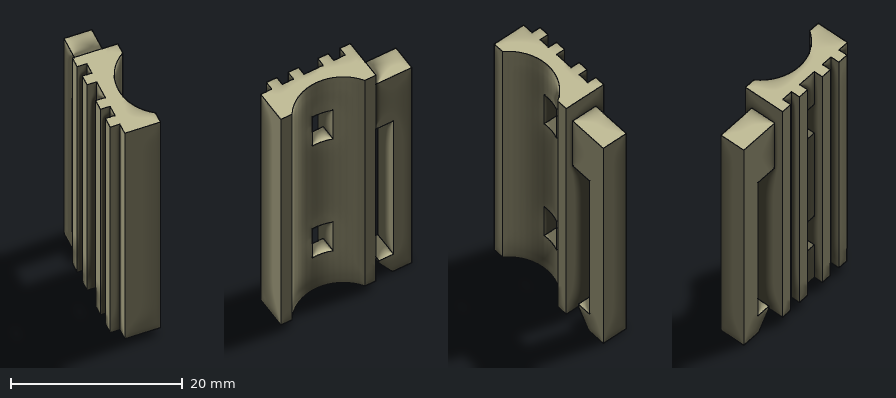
import cadquery as cq

total_width = 18.5
total_depth = 5.75
total_height = 38.0

body_left = 5.5
body_bottom = 1.05
body_width = total_width - body_left
body_height = total_height - body_bottom
rib_depth = 1.2
rib_width = 1.45
rib_starts = (0.0, 3.0, 7.05, 10.05)

channel_width = 9.95
channel_depth = 2.65

window_height = 5.15
window_bottoms = (6.9, 26.98)

clip_back_inset = 1.0
clip_depth = total_depth - rib_depth - clip_back_inset
clip_top = 35.05
bridge_bottom = 26.98
arm_width = 2.5
hook_reach = 4.5
hook_top = 3.08
hook_tip_bottom = 2.62
hook_base_width = 2.65


def box(x, y, z, width, depth, height):
    """Box placed by its left, front, bottom corner."""
    return cq.Workplane("XY").box(width, depth, height, centered=False).translate((x, y, z))


def make_body():
    """Plate with a round channel in the back and ribs on the front."""
    middle = body_left + body_width / 2
    channel_left = middle - channel_width / 2
    channel_right = middle + channel_width / 2
    body = (
        cq.Workplane("XY", origin=(0, 0, body_bottom))
        .moveTo(body_left, rib_depth)
        .lineTo(total_width, rib_depth)
        .lineTo(total_width, total_depth)
        .lineTo(channel_right, total_depth)
        .threePointArc((middle, total_depth - channel_depth), (channel_left, total_depth))
        .lineTo(body_left, total_depth)
        .close()
        .extrude(body_height)
    )
    for start in rib_starts:
        body = body.union(box(body_left + start, 0, body_bottom, rib_width, rib_depth, body_height))
    return body


def cut_windows(body):
    """Open the windows from the front through to the channel."""
    left = body_left + rib_starts[1] + rib_width
    width = body_left + rib_starts[2] - left
    for bottom in window_bottoms:
        body = body.cut(box(left, 0, bottom, width, total_depth, window_height))
    return body


def make_clip():
    """Arm hanging from a bridge at the top, with a hook at its lower end."""
    outline = [
        (0, 0),
        (hook_base_width, 0),
        (hook_reach, hook_tip_bottom),
        (hook_reach, hook_top),
        (arm_width, hook_top),
        (arm_width, bridge_bottom),
        (body_left, bridge_bottom),
        (body_left, clip_top),
        (0, clip_top),
    ]
    clip_back = total_depth - clip_back_inset
    return cq.Workplane("XZ", origin=(0, clip_back, 0)).polyline(outline).close().extrude(clip_depth)


result = cut_windows(make_body()).union(make_clip())